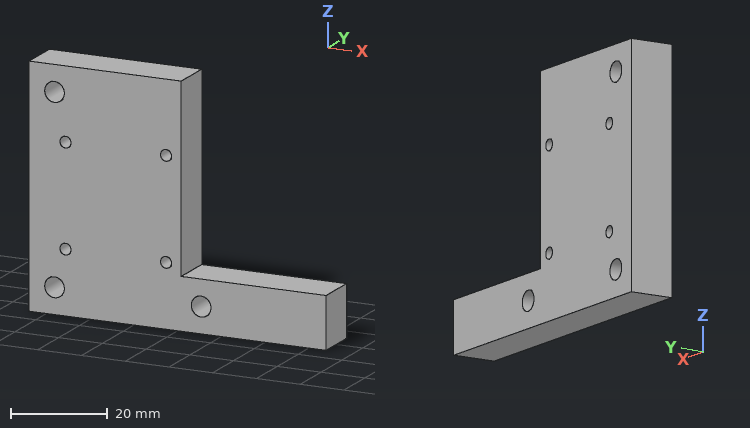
import cadquery as cq

length = 68.0
thickness = 10.0
height = 53.8
upright_width = 34.9
arm_height = 11.8

mount_diameter = 4.5
mount_inset = arm_height / 2
mount_spacing_x = 33.5
mount_spacing_z = 41.95

small_diameter = 2.5
small_spacing = 23.0
small_left = 8.4
small_bottom = 14.4


def l_plate():
    """L outline in the XZ plane, with the front face at Y = 0."""
    outline = [
        (0, 0),
        (length, 0),
        (length, arm_height),
        (upright_width, arm_height),
        (upright_width, height),
        (0, height),
    ]
    return cq.Workplane("XZ").polyline(outline).close().extrude(-thickness)


def through_holes(centers, diameter):
    """Cylinders along Y through the full plate thickness."""
    return cq.Workplane("XZ").pushPoints(centers).circle(diameter / 2).extrude(-thickness)


mount_centers = [
    (mount_inset, mount_inset),
    (mount_inset + mount_spacing_x, mount_inset),
    (mount_inset, mount_inset + mount_spacing_z),
]
small_centers = [
    (x, z)
    for x in (small_left, small_left + small_spacing)
    for z in (small_bottom, small_bottom + small_spacing)
]

result = (
    l_plate()
    .cut(through_holes(mount_centers, mount_diameter))
    .cut(through_holes(small_centers, small_diameter))
)